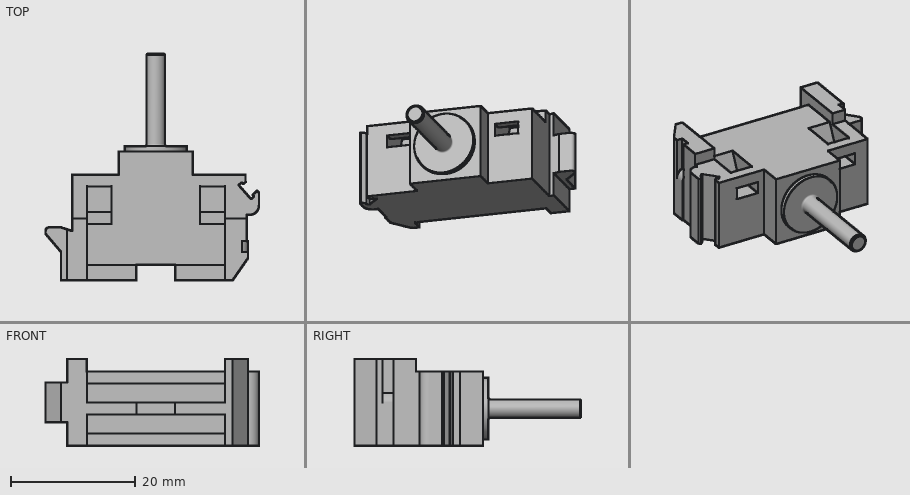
import cadquery as cq
import math

BODY_HEIGHT = 12.0
BODY_MID = BODY_HEIGHT / 2
BODY_LEFT = -13.5
BODY_BACK = 17.05
NECK_HALF_WIDTH = 6.0
NECK_BACK = 20.8

CHEEK_HEIGHT = 14.0
CHEEK_MID = CHEEK_HEIGHT / 2
CHEEK_BACK = 10.0
CHEEK_LEFT = -14.3
CHEEK_RIGHT = 14.7
PAD_RIGHT = 14.9

BAY_HALF_WIDTH = 11.13
BAY_DEPTH = 7.5
PLATE_THICKNESS = 1.98
PLATE_FRONT = 2.5
SHELF_THICKNESS = 1.98
SHELF_NOTCH_WIDTH = 6.25

WELL_WIDTH = 3.95
WELL_FRONT = 9.1
WELL_BACK = 15.15
WELL_DEPTH = 4.0
RAMP_BACK = 11.0

LIP_RIGHT = 14.5
LIP_FRONT = 15.92
HOOK_TIP = 14.42
HOOK_TIP_CHAMFER = 0.25
SLOT_FLOOR_X = 14.4
SLOT_FLOOR_Y = 14.25
SLOT_ANGLE = 41.5
SLOT_WIDTH = 3.0
SLOT_MOUTH_WIDTH = 2.27
SLOT_UNDERCUT_DEPTH = 0.62
SLOT_CUT_LENGTH = 1.83
HOOK_RIGHT = 16.65
HOOK_BOTTOM = 10.55
HOOK_RADIUS = 1.55

CLIP_LEFT = -17.8
CLIP_STEM = -15.3
CLIP_HEIGHT = 6.48
CLIP_TOP = 8.55
CLIP_ROOT = 7.98
CLIP_TIP_RADIUS = 0.6
CLIP_TIP_BOTTOM = 7.5
CLIP_UNDERSIDE = 4.58

PAD_CHAMFER_X = 2.5
PAD_CHAMFER_Y = 3.6
NOTCH_LEFT = 13.9
NOTCH_FRONT = 4.58
NOTCH_BACK = 6.35
NOTCH_RIB_RADIUS = 1.6

COLLAR_RADIUS = 5.0
COLLAR_THICKNESS = 0.85
SHAFT_RADIUS = 1.5
SHAFT_END = 36.6
SHAFT_CHAMFER = 0.22
SHAFT_ROOT_FILLET = 0.3


def box(x0, x1, y0, y1, z0, z1):
    """Block between the given limits along X, Y and Z."""
    return cq.Workplane("XY").box(x1 - x0, y1 - y0, z1 - z0, centered=False).translate((x0, y0, z0))


def hook_slot():
    """T-slot cutter: wide at its floor and narrower between the lips of its mouth."""
    undercut = box(0, SLOT_UNDERCUT_DEPTH, -SLOT_WIDTH / 2, SLOT_WIDTH / 2, 0, BODY_HEIGHT)
    mouth = box(0, SLOT_CUT_LENGTH, -SLOT_MOUTH_WIDTH / 2, SLOT_MOUTH_WIDTH / 2, 0, BODY_HEIGHT)
    cutter = undercut.union(mouth).rotate((0, 0, 0), (0, 0, 1), SLOT_ANGLE)
    return cutter.translate((SLOT_FLOOR_X, SLOT_FLOOR_Y, 0))


def body():
    """Stepped block whose right end is a hook beside a slanted T-slot."""
    arc = HOOK_RADIUS * (1 - math.sqrt(0.5))
    outline = (
        cq.Workplane("XY")
        .moveTo(BODY_LEFT, 0)
        .lineTo(BODY_LEFT, BODY_BACK)
        .lineTo(-NECK_HALF_WIDTH, BODY_BACK)
        .lineTo(-NECK_HALF_WIDTH, NECK_BACK)
        .lineTo(NECK_HALF_WIDTH, NECK_BACK)
        .lineTo(NECK_HALF_WIDTH, BODY_BACK)
        .lineTo(LIP_RIGHT, BODY_BACK)
        .lineTo(LIP_RIGHT, LIP_FRONT)
        .lineTo(HOOK_RIGHT - HOOK_TIP_CHAMFER, HOOK_TIP)
        .lineTo(HOOK_RIGHT, HOOK_TIP - HOOK_TIP_CHAMFER)
        .lineTo(HOOK_RIGHT, HOOK_BOTTOM + HOOK_RADIUS)
        .threePointArc((HOOK_RIGHT - arc, HOOK_BOTTOM + arc), (HOOK_RIGHT - HOOK_RADIUS, HOOK_BOTTOM))
        .lineTo(CHEEK_RIGHT, HOOK_BOTTOM)
        .lineTo(CHEEK_RIGHT, CHEEK_BACK)
        .lineTo(BAY_HALF_WIDTH, CHEEK_BACK)
        .lineTo(BAY_HALF_WIDTH, 0)
        .close()
    )
    return outline.extrude(BODY_HEIGHT).cut(hook_slot())


def left_cheek():
    """Cheek whose outer strip ends on the slanted root line of the clip."""
    slope = (CLIP_TOP - CLIP_ROOT) / (BODY_LEFT - CLIP_STEM)
    outer = (
        cq.Workplane("XY")
        .moveTo(CHEEK_LEFT, 0)
        .lineTo(CHEEK_LEFT, CLIP_ROOT + slope * (BODY_LEFT - CHEEK_LEFT))
        .lineTo(BODY_LEFT, CLIP_ROOT)
        .lineTo(BODY_LEFT, CHEEK_BACK)
        .lineTo(-BAY_HALF_WIDTH, CHEEK_BACK)
        .lineTo(-BAY_HALF_WIDTH, 0)
        .close()
    )
    return outer.extrude(CHEEK_HEIGHT)


def right_cheek():
    """Cheek with a slanted front corner and a side notch over a rounded rib."""
    cheek = (
        cq.Workplane("XY")
        .moveTo(BAY_HALF_WIDTH, 0)
        .lineTo(PAD_RIGHT - PAD_CHAMFER_X, 0)
        .lineTo(PAD_RIGHT, PAD_CHAMFER_Y)
        .lineTo(PAD_RIGHT, NOTCH_BACK)
        .lineTo(CHEEK_RIGHT, NOTCH_BACK)
        .lineTo(CHEEK_RIGHT, CHEEK_BACK)
        .lineTo(BAY_HALF_WIDTH, CHEEK_BACK)
        .close()
        .extrude(CHEEK_HEIGHT)
    )
    notch = box(NOTCH_LEFT, PAD_RIGHT, NOTCH_FRONT, NOTCH_BACK, CHEEK_MID, CHEEK_HEIGHT)
    rib = (
        cq.Workplane("XZ", origin=(PAD_RIGHT - NOTCH_RIB_RADIUS, NOTCH_BACK, CHEEK_MID))
        .circle(NOTCH_RIB_RADIUS)
        .extrude(NOTCH_BACK - NOTCH_FRONT)
    )
    return cheek.cut(notch.cut(rib))


def clip():
    """Hooked latch on the left end, with a rounded tip and a slanted underside."""
    arc = CLIP_TIP_RADIUS * (1 - math.sqrt(0.5))
    outline = (
        cq.Workplane("XY")
        .moveTo(BODY_LEFT, 0)
        .lineTo(BODY_LEFT, CLIP_ROOT)
        .lineTo(CLIP_STEM, CLIP_TOP)
        .lineTo(CLIP_LEFT + CLIP_TIP_RADIUS, CLIP_TOP)
        .threePointArc((CLIP_LEFT + arc, CLIP_TOP - arc), (CLIP_LEFT, CLIP_TOP - CLIP_TIP_RADIUS))
        .lineTo(CLIP_LEFT, CLIP_TIP_BOTTOM)
        .lineTo(CLIP_STEM, CLIP_UNDERSIDE)
        .lineTo(CLIP_STEM, 0)
        .close()
    )
    return outline.extrude(CLIP_HEIGHT).translate((0, 0, CHEEK_MID - CLIP_HEIGHT / 2))


def bay():
    """Space between the cheeks: two set-back plates and a notched middle shelf remain."""
    half = BAY_HALF_WIDTH
    shelf_bottom = BODY_MID - SHELF_THICKNESS / 2
    shelf_top = BODY_MID + SHELF_THICKNESS / 2
    front = box(-half, half, 0, PLATE_FRONT, 0, BODY_HEIGHT)
    inside = box(-half, half, 0, BAY_DEPTH, PLATE_THICKNESS, BODY_HEIGHT - PLATE_THICKNESS)
    shelf = box(-half, half, 0, BAY_DEPTH, shelf_bottom, shelf_top)
    notch = box(-SHELF_NOTCH_WIDTH / 2, SHELF_NOTCH_WIDTH / 2, 0, PLATE_FRONT, shelf_bottom, shelf_top)
    return front.union(inside).cut(shelf.cut(notch))


def well(left):
    """Top opening that leads down a steep ramp and out, below the back strip, through the back face."""
    floor = BODY_HEIGHT - WELL_DEPTH
    roof = BODY_HEIGHT - PLATE_THICKNESS
    profile = (
        cq.Workplane("YZ", origin=(left, 0, 0))
        .moveTo(WELL_FRONT, BODY_HEIGHT)
        .lineTo(RAMP_BACK, floor)
        .lineTo(BODY_BACK, floor)
        .lineTo(BODY_BACK, roof)
        .lineTo(WELL_BACK, roof)
        .lineTo(WELL_BACK, BODY_HEIGHT)
        .close()
    )
    return profile.extrude(WELL_WIDTH)


def shaft():
    """Rod with a chamfered end, filleted into a round collar on the neck."""
    collar_back = NECK_BACK + COLLAR_THICKNESS
    root_radius = SHAFT_RADIUS + SHAFT_ROOT_FILLET
    inset = SHAFT_ROOT_FILLET * (1 - math.sqrt(0.5))
    half_section = (
        cq.Workplane("XY")
        .moveTo(0, NECK_BACK)
        .lineTo(COLLAR_RADIUS, NECK_BACK)
        .lineTo(COLLAR_RADIUS, collar_back)
        .lineTo(root_radius, collar_back)
        .threePointArc(
            (SHAFT_RADIUS + inset, collar_back + inset),
            (SHAFT_RADIUS, collar_back + SHAFT_ROOT_FILLET),
        )
        .lineTo(SHAFT_RADIUS, SHAFT_END - SHAFT_CHAMFER)
        .lineTo(SHAFT_RADIUS - SHAFT_CHAMFER, SHAFT_END)
        .lineTo(0, SHAFT_END)
        .close()
    )
    return half_section.revolve(360, (0, 0, 0), (0, 1, 0)).translate((0, 0, BODY_MID))


result = body().cut(bay()).union(left_cheek()).union(right_cheek()).union(clip()).union(shaft())
for well_left in (-BAY_HALF_WIDTH, BAY_HALF_WIDTH - WELL_WIDTH):
    result = result.cut(well(well_left))